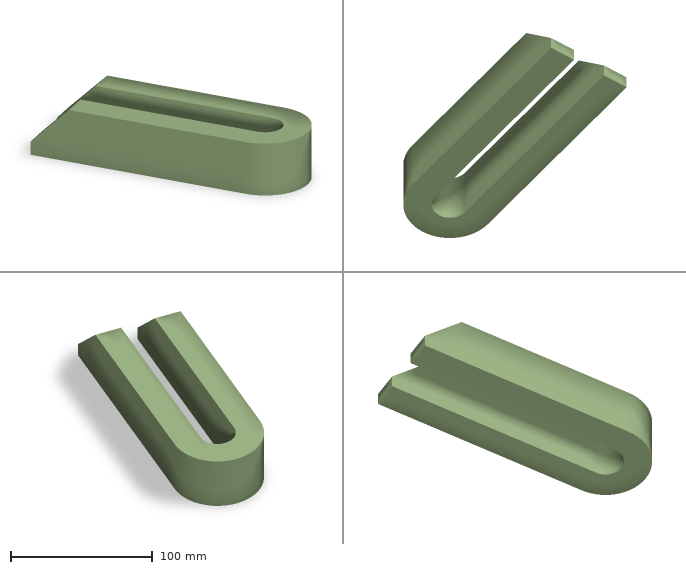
import cadquery as cq

length = 200.0
height = 40.0
arm_width = 20.0
slot_width = 26.0
tip_height = 10.0
bevel_length = 30.0

width = slot_width + 2 * arm_width
outer_radius = width / 2
bend_x = length - outer_radius


def rounded_bar(bar_width):
    """Bar from X = 0 to the bend, closed by a half-round end of the same width."""
    radius = bar_width / 2
    return (
        cq.Workplane("XY")
        .moveTo(0, -radius)
        .lineTo(bend_x, -radius)
        .threePointArc((bend_x + radius, 0), (bend_x, radius))
        .lineTo(0, radius)
        .close()
        .extrude(height)
    )


def tip_bevel():
    """Wedge removed above the sloping tips of both arms."""
    return (
        cq.Workplane("XZ")
        .polyline([(0, tip_height), (bevel_length, height), (0, height)])
        .close()
        .extrude(outer_radius, both=True)
    )


result = rounded_bar(width).cut(rounded_bar(slot_width)).cut(tip_bevel())